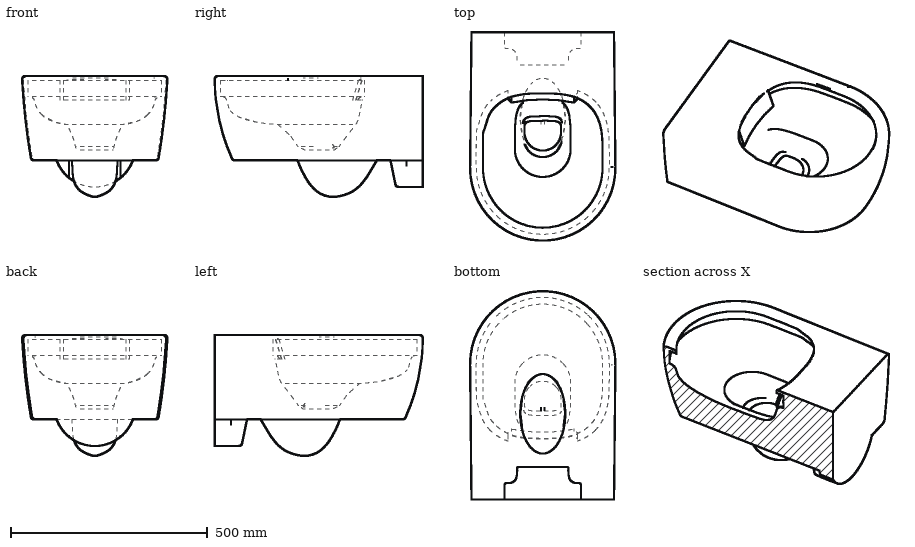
import cadquery as cq
import math


body_height = 215.0
body_sections = [
    (0.0, 185.5, 530.07),
    (-110.0, 176.5, 518.5),
    (-body_height, 161.5, 483.5),
]
rear_narrowing = 3.5
top_round = 10.0
bottom_round = 8.5

rim_half_width = 152.0
rim_rear = -155.5
rim_front = -497.0
rim_side_rear = -303.0
rim_round = 5.0
rear_squareness = 2.8
groove_reach = 17.0
groove_top = -12.0
groove_mid = -30.0
groove_floor = -52.0
ledge_mid = -55.5
ledge_mid_reach = 6.0
bowl_top = -68.0

bowl_mid = (-102.0, 131.0, -162.0, -295.0, -473.0, rear_squareness)
sump_ring = (-124.0, 71.0, -171.0, -290.0, -368.0, 4.0)
sump_mid = (-155.0, 56.0, -195.0, -265.0, -335.0, 4.0)
sump_throat = (-180.0, 49.0, -213.5, -240.0, -317.5, 4.0)
sump_floor = (-188.0, 46.5, -225.0, -245.0, -301.0, 4.0)

distributor_half_width = 88.0
distributor_chamfer = 9.0
distributor_top = -9.0
distributor_bottom = -62.0
distributor_top_y = -155.0
distributor_bottom_y = -171.0
distributor_overlap = 5.0
distributor_bow = 8.0

trap_bottom = -307.7
trap_sections = [
    (-190.0, -104.0, -326.0, 57.5),
    (-body_height, -117.0, -319.0, 57.5),
    (-249.0, -137.0, -304.0, 56.5),
    (-280.0, -161.0, -284.0, 48.0),
    (-299.0, -189.0, -262.0, 27.0),
    (trap_bottom, -222.0, -236.0, 5.0),
]

boss_radius = 103.7
boss_bottom = -282.5
boss_top_length = 86.0
boss_bottom_length = 69.0
boss_root = -200.0
boss_edge_round = 8.0
notch_half_width = 66.0
notch_rear = -42.0
notch_round = 20.0
tongue_round = 5.0
notch_height = 200.0

margin = 1.0


def body_section(half_width, depth):
    """D outline: straight back, tapered sides, tangent round front."""
    rear_half = half_width - rear_narrowing
    centre = depth - half_width
    reach = math.hypot(rear_half, centre)
    tangent = math.atan2(centre, rear_half) - math.acos(half_width / reach)
    side_x = half_width * math.cos(tangent)
    side_y = half_width * math.sin(tangent) - centre
    return (
        cq.Sketch()
        .segment((-rear_half, 0), (rear_half, 0))
        .segment((side_x, side_y))
        .arc((0, -depth), (-side_x, side_y))
        .close()
        .assemble()
    )


def make_body():
    levels = [
        body_section(half_width, depth).moved(cq.Location(cq.Vector(0, 0, z)))
        for z, half_width, depth in body_sections
    ]
    body = cq.Workplane("XY").placeSketch(*levels).loft()
    body = body.faces(">Z").edges("not(>Y)").fillet(top_round)
    return body.faces("<Z").edges("not(>Y)").fillet(bottom_round)


def rear_cap_points(half_width, base_y, end_y, squareness, steps=12):
    """Superellipse end from (half_width, base_y) over (0, end_y) to (-half_width, base_y)."""
    power = 2.0 / squareness
    points = []
    for step in range(steps + 1):
        angle = math.pi * step / steps
        x = half_width * math.copysign(abs(math.cos(angle)) ** power, math.cos(angle))
        y = base_y + (end_y - base_y) * abs(math.sin(angle)) ** power
        points.append((x, y))
    return points


def basin_outline(z, half_width, rear, side_rear, front, squareness):
    """Closed bowl outline: squarish rear, straight sides, half-round front."""
    cap = rear_cap_points(half_width, side_rear, rear, squareness)
    side_front = front + half_width
    return (
        cq.Workplane("XY", origin=(0, 0, z))
        .moveTo(half_width, side_rear)
        .spline(cap[1:], tangents=[(0, 1), (0, -1)], includeCurrent=True)
        .lineTo(-half_width, side_front)
        .threePointArc((0, front), (half_width, side_front))
        .close()
    )


def rim_outline(z, offset=0.0):
    return basin_outline(
        z,
        rim_half_width + offset,
        rim_rear + offset,
        rim_side_rear,
        rim_front - offset,
        rear_squareness,
    )


def loft(outlines, ruled=False):
    wires = [outline.wires().val() for outline in outlines]
    return cq.Workplane(obj=cq.Solid.makeLoft(wires, ruled))


def cut_basin(body):
    opening = rim_outline(0).extrude(groove_mid)
    body = body.cut(opening)
    rim_box = cq.selectors.BoxSelector(
        (-rim_half_width - margin, rim_front - margin, -margin),
        (rim_half_width + margin, rim_rear + margin, margin),
    )
    body = body.edges(rim_box).fillet(rim_round)

    groove = rim_outline(groove_top, groove_reach).extrude(groove_floor - groove_top)
    ledge = loft(
        [
            rim_outline(groove_floor, groove_reach),
            rim_outline(ledge_mid, ledge_mid_reach),
            rim_outline(bowl_top),
        ]
    )
    bowl = loft([rim_outline(bowl_top), basin_outline(*bowl_mid), basin_outline(*sump_ring)])
    sump = loft([basin_outline(*level) for level in (sump_ring, sump_mid, sump_throat)])
    outlet = loft([basin_outline(*level) for level in (sump_throat, sump_floor)], True)
    for hollow in (groove, ledge, bowl, sump, outlet):
        body = body.cut(hollow)
    return body


def distributor_section(z, front_y):
    """Plan of the distributor block: bowed front edge with chamfered ends."""
    back_y = rim_rear + groove_reach + distributor_overlap
    end_x = distributor_half_width - distributor_chamfer
    end_y = front_y - distributor_bow
    outline = (
        cq.Workplane("XY", origin=(0, 0, z))
        .moveTo(-distributor_half_width, back_y)
        .lineTo(-distributor_half_width, end_y + distributor_chamfer)
        .lineTo(-end_x, end_y)
        .threePointArc((0, front_y), (end_x, end_y))
        .lineTo(distributor_half_width, end_y + distributor_chamfer)
        .lineTo(distributor_half_width, back_y)
        .close()
    )
    return outline


def make_distributor():
    return loft(
        [
            distributor_section(distributor_top, distributor_top_y),
            distributor_section(distributor_bottom, distributor_bottom_y),
        ],
        True,
    )


def make_trap():
    sections = []
    for z, rear, front, half_width in trap_sections:
        half_length = (rear - front) / 2
        section = cq.Workplane("XY", origin=(0, (rear + front) / 2, z)).ellipse(half_width, half_length)
        sections.append(section)
    return loft(sections)


def make_boss():
    barrel = (
        cq.Workplane("XZ", origin=(0, 0, boss_bottom + boss_radius))
        .circle(boss_radius)
        .extrude(boss_top_length)
    )
    profile = (
        cq.Workplane("YZ")
        .moveTo(0, boss_root)
        .lineTo(-boss_top_length, boss_root)
        .lineTo(-boss_bottom_length, boss_bottom)
        .lineTo(0, boss_bottom)
        .close()
        .extrude(boss_radius, both=True)
    )
    boss = barrel.intersect(profile)
    boss = boss.faces("<Y").edges("%CIRCLE or %ELLIPSE").fillet(boss_edge_round)
    for side in (1, -1):
        notch = (
            cq.Workplane("XY")
            .box(boss_radius, boss_radius, notch_height)
            .edges("|Z")
            .fillet(notch_round)
            .translate((side * (notch_half_width + boss_radius / 2), notch_rear - boss_radius / 2, boss_root))
        )
        boss = boss.cut(notch)
    for side in (1, -1):
        edge_x = side * notch_half_width
        tongue_edge = cq.selectors.BoxSelector(
            (edge_x - margin, -boss_top_length - margin, boss_bottom),
            (edge_x + margin, notch_rear - notch_round - margin, boss_root - margin),
        )
        boss = boss.edges(tongue_edge).edges(">Z").fillet(tongue_round)
    return boss


body = make_body().union(make_trap())
result = cut_basin(body).union(make_distributor()).union(make_boss())